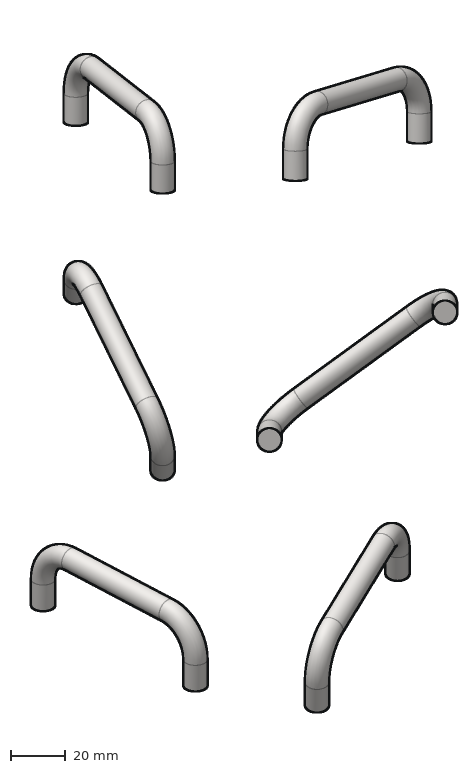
import cadquery as cq

length = 89.0
height = 30.0
bar_diameter = 9.0
bend_radius = 14.4

bar_radius = bar_diameter / 2
leg_x = length / 2 - bar_radius
grip_z = height - bar_radius
bend_start_z = grip_z - bend_radius
bend_end_x = leg_x - bend_radius

centreline = (
    cq.Workplane("XZ")
    .moveTo(-leg_x, 0)
    .lineTo(-leg_x, bend_start_z)
    .radiusArc((-bend_end_x, grip_z), bend_radius)
    .lineTo(bend_end_x, grip_z)
    .radiusArc((leg_x, bend_start_z), bend_radius)
    .lineTo(leg_x, 0)
)

result = cq.Workplane("XY").center(-leg_x, 0).circle(bar_radius).sweep(centreline)